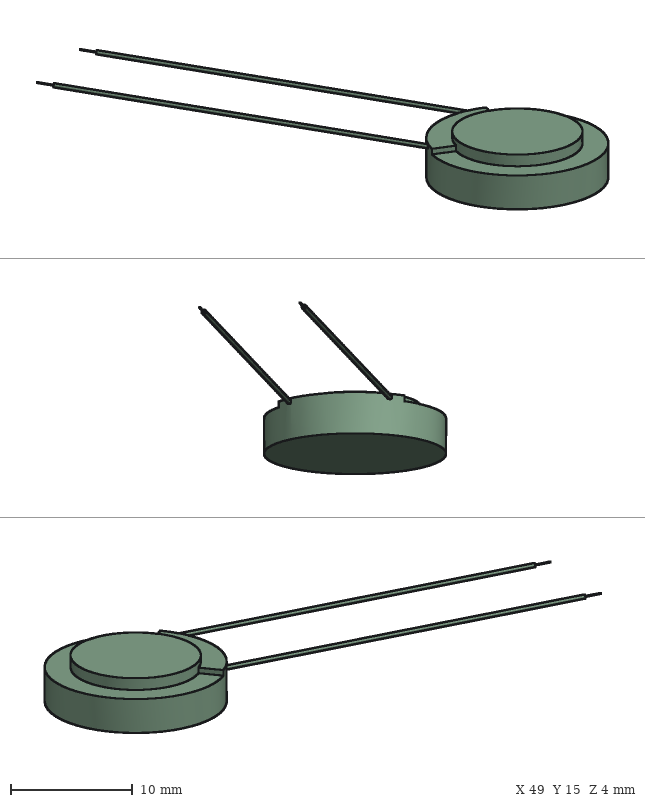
import cadquery as cq
import math

total_length = 49.0
body_diameter = 15.0
body_height = 3.0
cap_diameter = 10.75
total_height = 4.0

sector_top = 3.5
sector_half_angle = 45.0

wire_diameter = 0.365
core_diameter = 0.09
core_length = 1.5
wire_offset = 4.2
wire_height = 3.2

body_radius = body_diameter / 2
wire_tip_x = body_radius - total_length
insulation_start_x = wire_tip_x + core_length
wire_end_x = -(wire_offset + wire_diameter)


def disc(diameter, height):
    return cq.Workplane("XY").circle(diameter / 2).extrude(height)


def rim_sector():
    """Pie-shaped step on the body, symmetric about the -X direction."""
    half_angle = math.radians(sector_half_angle)
    corner_x = -body_radius * math.cos(half_angle)
    corner_y = body_radius * math.sin(half_angle)
    return (
        cq.Workplane("XY")
        .lineTo(corner_x, corner_y)
        .threePointArc((-body_radius, 0), (corner_x, -corner_y))
        .close()
        .extrude(sector_top)
    )


def rod_along_x(diameter, start_x, end_x, y):
    return (
        cq.Workplane("YZ", origin=(start_x, y, wire_height))
        .circle(diameter / 2)
        .extrude(end_x - start_x)
    )


result = disc(body_diameter, body_height)
result = result.union(disc(cap_diameter, total_height))
result = result.union(rim_sector())

for wire_y in (-wire_offset, wire_offset):
    insulation = rod_along_x(wire_diameter, insulation_start_x, wire_end_x, wire_y)
    core = rod_along_x(core_diameter, wire_tip_x, wire_end_x, wire_y)
    result = result.union(insulation.union(core))